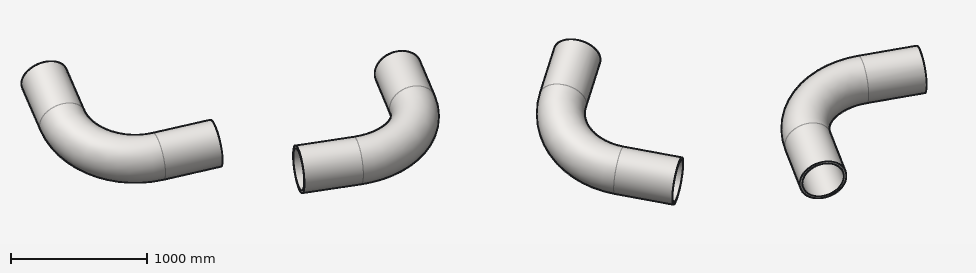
import cadquery as cq

overall_length = 1178.0
outer_diameter = 355.0
bore_diameter = 313.0
straight_length = 442.0

bend_radius = overall_length - straight_length - outer_diameter / 2


def elbow(diameter):
    """Solid 90-degree elbow: a leg along X, a bend, and a leg along Y."""
    inlet_leg = (
        cq.Workplane("YZ")
        .circle(diameter / 2)
        .extrude(straight_length)
    )
    bend = (
        cq.Workplane("YZ", origin=(straight_length, 0, 0))
        .circle(diameter / 2)
        .revolve(90, (bend_radius, 0), (bend_radius, 1))
    )
    outlet_leg = (
        cq.Workplane("XZ", origin=(straight_length + bend_radius, bend_radius, 0))
        .circle(diameter / 2)
        .extrude(-straight_length)
    )
    return inlet_leg.union(bend).union(outlet_leg)


result = elbow(outer_diameter).cut(elbow(bore_diameter))